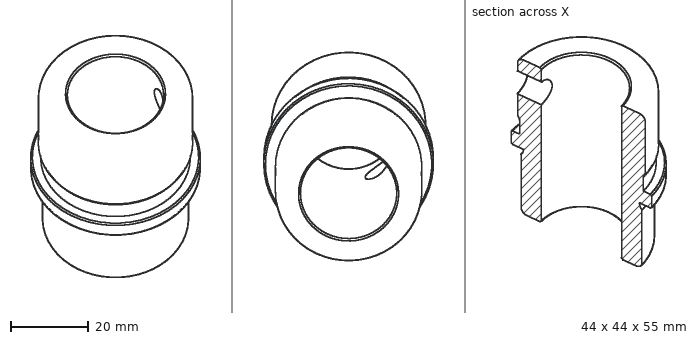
import cadquery as cq
import math

total_height = 55.0
flange_bottom = 23.0
flange_thickness = 5.0
groove_width = 5.0
groove_chamfer_height = 1.15
relief_height = 2.0

flange_radius = 22.0
upper_radius = 20.0
groove_radius = 19.4
lower_radius = 19.0
relief_radius = 18.2

end_fillet = 2.0
flange_chamfer = 0.45

bore_radius = 12.5
bore_chamfer = 0.5
cross_hole_diameter = 8.0
cross_hole_depth_from_top = 9.0

flange_top = flange_bottom + flange_thickness
groove_top = flange_top + groove_width
relief_bottom = flange_bottom - relief_height

relief_depth = lower_radius - relief_radius
relief_arc_radius = (relief_height**2 + relief_depth**2) / (2 * relief_depth)
relief_mid_height = flange_bottom - relief_height / 2
relief_mid_radius = (
    relief_radius + relief_arc_radius - math.sqrt(relief_arc_radius**2 - (relief_height / 2) ** 2)
)

fillet_mid = end_fillet * (1 - math.sqrt(0.5))


def turned_body():
    """Half section in the XZ plane, revolved about the Z axis."""
    section = (
        cq.Workplane("XZ")
        .moveTo(bore_radius + bore_chamfer, 0)
        .lineTo(lower_radius - end_fillet, 0)
        .threePointArc((lower_radius - fillet_mid, fillet_mid), (lower_radius, end_fillet))
        .lineTo(lower_radius, relief_bottom)
        .threePointArc((relief_mid_radius, relief_mid_height), (relief_radius, flange_bottom))
        .lineTo(flange_radius - flange_chamfer, flange_bottom)
        .lineTo(flange_radius, flange_bottom + flange_chamfer)
        .lineTo(flange_radius, flange_top - flange_chamfer)
        .lineTo(flange_radius - flange_chamfer, flange_top)
        .lineTo(groove_radius, flange_top)
        .lineTo(groove_radius, groove_top)
        .lineTo(upper_radius, groove_top + groove_chamfer_height)
        .lineTo(upper_radius, total_height - end_fillet)
        .threePointArc(
            (upper_radius - fillet_mid, total_height - fillet_mid),
            (upper_radius - end_fillet, total_height),
        )
        .lineTo(bore_radius + bore_chamfer, total_height)
        .lineTo(bore_radius, total_height - bore_chamfer)
        .lineTo(bore_radius, bore_chamfer)
        .close()
    )
    return section.revolve(360, (0, 0, 0), (0, 1, 0))


def cross_hole():
    """Radial hole through the +Y wall of the upper barrel."""
    return cq.Workplane(
        cq.Solid.makeCylinder(
            cross_hole_diameter / 2,
            flange_radius,
            cq.Vector(0, 0, total_height - cross_hole_depth_from_top),
            cq.Vector(0, 1, 0),
        )
    )


result = turned_body().cut(cross_hole())